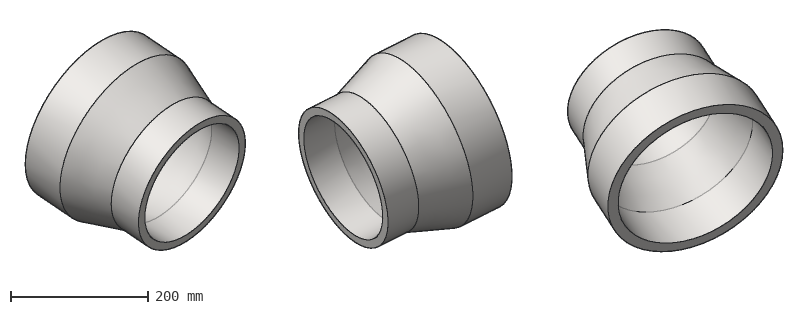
import cadquery as cq

large_outer_radius = 280.0 / 2
large_inner_radius = 247.0 / 2
small_outer_radius = 225.0 / 2
small_inner_radius = 198.2 / 2

total_length = 202.0
large_length = 70.0
small_length = 55.0

cone_end = total_length - small_length


def reducer_body(large_radius, small_radius):
    """Solid of revolution: large cylinder, cone, small cylinder."""
    half_profile = (
        cq.Workplane("XY")
        .polyline([
            (0, 0),
            (0, -large_radius),
            (large_length, -large_radius),
            (cone_end, -small_radius),
            (total_length, -small_radius),
            (total_length, 0),
        ])
        .close()
    )
    return half_profile.revolve(360, (0, 0, 0), (1, 0, 0))


outside = reducer_body(large_outer_radius, small_outer_radius)
bore = reducer_body(large_inner_radius, small_inner_radius)

result = outside.cut(bore)